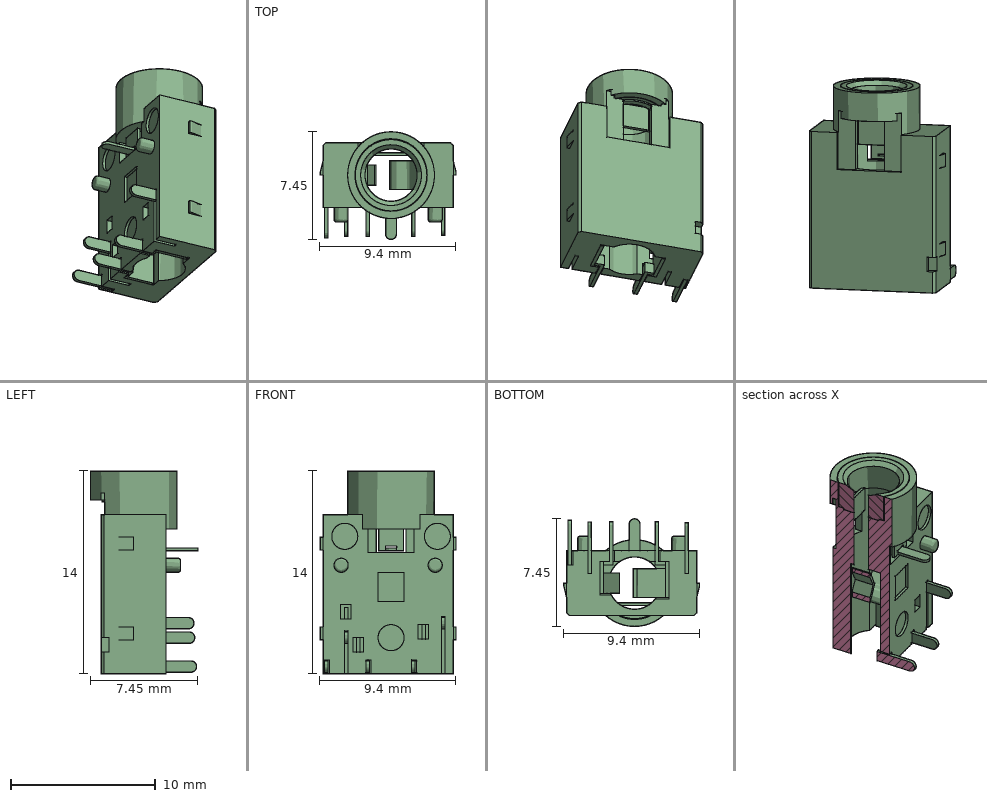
import cadquery as cq
import math


block_left, block_right = -4.7, 4.3
block_depth = 4.5
block_height = 11.0
front_y = -block_depth / 2
back_y = block_depth / 2
back_edge_chamfer = 0.2
barrel_radius = 3.0
barrel_bottom, barrel_top = 10.0, 14.0
bore_radius = 1.8

bushing_radius = 2.47
bushing_clearance = 0.03
bushing_bottom = 12.0
bushing_lead_in = 0.3
spigot_radius = 2.2
spigot_bottom = bushing_bottom - 0.12

dimple_radius = 0.9
dimple_depth = 0.2
dimple_places = [(-3.2, 9.5), (3.2, 9.5), (0, 2.5)]
mark_size = (1.8, 2.0)
mark_center_z = 6.0
peg_radius = 0.49
peg_length = 1.0
peg_fillet = 0.19
peg_spacing = 6.5
peg_z = 7.5
peephole_size = (0.73, 1.0)
peephole_places = [(-3.13, 4.3), (-2.27, 2.0), (2.23, 2.9)]

wedge_height = 0.9
wedge_projection = 0.2
wedge_top_y, wedge_crest_y = 1.0, 0.2
wedge_centers_z = [2.8, 9.0]
notch_front_y = 1.7
notch_bottom, notch_top = 1.5, 2.5
notch_length = 0.6

window_half_width = 1.6
window_bottom = 8.4
window_back_y = -1.6
passage_half_width = 1.02
recess_half_width = 2.27
recess_floor_y = 2.0
bridge_front_y, bridge_back_y = 1.35, 1.55
bridge_bottom = barrel_bottom + 0.1
step_half_width = 1.7
step_top = bushing_bottom + 0.5

ground_half_width = 0.86
ground_bottom = 8.5
ground_socket_top = 10.4
ground_front_y = -2.16
ground_thickness = 0.2
ground_pin_half_width = 0.38
ground_pin_end_y = -4.45
ground_slit_height = 0.13

sheet = 0.25
pin_height = 0.8
slot_headroom = 0.06
leg_front_y = -1.5
low_pin_bottom = 0.1
slot_side_play = 0.1

corner_pin_x, corner_pin_end_y = -4.6, -4.35
corner_blade_back_y = -1.25

left_switch_x, left_switch_pin_bottom, left_switch_end_y = -3.23, 2.1, -4.23
left_switch_top = 4.6
right_switch_x, right_switch_pin_bottom, right_switch_end_y = 3.47, 3.1, -4.17
right_switch_top = right_switch_pin_bottom + pin_height
switch_front_y, switch_back_y = -1.65, -0.65

spring_pin_end_y = -4.25
ring_pin_x, ring_leg_x, ring_half_width = -1.74, -2.38, 0.71
ring_leg_top = 4.0
ring_crest_x, ring_crest_z = -1.16, 6.0
ring_tip_x, ring_tip_z = -1.765, 7.2
ring_break_x, ring_break_z = -1.14, 6.1
tip_pin_x, tip_leg_x, tip_half_width = 1.42, 2.12, 1.0
tip_leg_bottom = -0.01
tip_flat_z = 4.2
tip_slope_degrees = 52
tip_inner_bend, tip_outer_bend = 0.59, 0.55
tip_flat_left_x, tip_flat_right_x = 0.62, 0.97
spring_room = 0.1
ring_room_top, tip_room_top = 7.5, 6.0


def box(x_range, y_range, z_range):
    """Box between two limits along each axis."""
    (x0, x1), (y0, y1), (z0, z1) = x_range, y_range, z_range
    return cq.Workplane("XY").box(x1 - x0, y1 - y0, z1 - z0, centered=False).translate((x0, y0, z0))


def cylinder(radius, z0, z1):
    return cq.Workplane("XY").workplane(offset=z0).circle(radius).extrude(z1 - z0)


def front_plane(y):
    """XZ plane at a given Y whose extrusions run towards -Y."""
    return cq.Workplane("XZ", origin=(0, y, 0))


def pin_blade(x, back_y, end_y, bottom):
    """Flat sheet pin with a full round end, reaching from back_y out to end_y."""
    radius = pin_height / 2
    round_start = end_y + radius
    return (
        cq.Workplane("YZ", origin=(x, 0, 0))
        .moveTo(back_y, bottom)
        .lineTo(round_start, bottom)
        .threePointArc((end_y, bottom + radius), (round_start, bottom + pin_height))
        .lineTo(back_y, bottom + pin_height)
        .close()
        .extrude(sheet)
    )


def pin_slot(x, back_y, pin_bottom, play):
    """Housing slot for a pin, open at the front and at the underside."""
    top = pin_bottom + pin_height + slot_headroom
    return box((x, x + sheet + play), (front_y, back_y), (0, top))


def side_wedges():
    """Retaining wedges on both side walls."""
    profile = [(0, wedge_top_y), (wedge_projection, wedge_crest_y), (wedge_projection, 0), (0, 0)]
    wedges = cq.Workplane("XY")
    for wall_x, side in [(block_left, -1), (block_right, 1)]:
        points = [(wall_x + side * x, y) for x, y in profile]
        for z in wedge_centers_z:
            base = cq.Workplane("XY").workplane(offset=z - wedge_height / 2)
            wedges = wedges.add(base.polyline(points).close().extrude(wedge_height))
    return wedges.combine()


def ground_terminal():
    """Upright plate with a slit, from which a round-ended pin runs forwards."""
    plate_back_y = ground_front_y + ground_thickness
    plate = box(
        (-ground_half_width, ground_half_width),
        (ground_front_y, plate_back_y),
        (ground_bottom, ground_socket_top),
    )
    pin_top = ground_bottom + ground_thickness
    slit = box(
        (-ground_pin_half_width, ground_pin_half_width),
        (ground_front_y, plate_back_y),
        (pin_top, pin_top + ground_slit_height),
    )
    round_start = ground_pin_end_y + ground_pin_half_width
    pin = (
        cq.Workplane("XY", origin=(0, 0, ground_bottom))
        .moveTo(-ground_pin_half_width, plate_back_y)
        .lineTo(-ground_pin_half_width, round_start)
        .threePointArc((0, ground_pin_end_y), (ground_pin_half_width, round_start))
        .lineTo(ground_pin_half_width, plate_back_y)
        .close()
        .extrude(ground_thickness)
    )
    return plate.cut(slit).union(pin)


def switch_terminal(x, pin_bottom, end_y, top):
    """Flat switch blade: an upright inside the housing and a pin out of the front."""
    upright = box((x, x + sheet), (switch_front_y, switch_back_y), (pin_bottom, top))
    return upright.union(pin_blade(x, switch_back_y, end_y, pin_bottom))


def spring_foot(pin_x, leg_x):
    """Pin with a crossbar that joins it to the leg of a spring contact."""
    bar_x = (min(pin_x, leg_x), max(pin_x, leg_x) + sheet)
    bar_y = (leg_front_y, leg_front_y + sheet)
    bar = box(bar_x, bar_y, (low_pin_bottom, low_pin_bottom + pin_height))
    return bar.union(pin_blade(pin_x, bar_y[1], spring_pin_end_y, low_pin_bottom))


def spring_leg(leg_x, half_width, bottom, top):
    return box((leg_x, leg_x + sheet), (leg_front_y, half_width), (bottom, top))


def ring_terminal():
    """Left spring contact: a leg whose leaf leans into the bore and back out."""
    right_x = ring_leg_x + sheet
    leaf = (
        front_plane(ring_half_width)
        .moveTo(ring_leg_x, ring_leg_top - sheet)
        .lineTo(ring_leg_x, ring_leg_top)
        .lineTo(ring_crest_x - sheet / 2, ring_crest_z)
        .lineTo(ring_tip_x - sheet / 2, ring_tip_z)
        .lineTo(ring_tip_x + sheet / 2, ring_tip_z)
        .lineTo(ring_break_x, ring_break_z)
        .lineTo(ring_crest_x + sheet / 2, ring_crest_z)
        .lineTo(right_x, ring_leg_top)
        .lineTo(right_x, ring_leg_top - sheet)
        .close()
        .extrude(2 * ring_half_width)
    )
    leg = spring_leg(ring_leg_x, ring_half_width, 0, ring_leg_top)
    return leg.union(leaf).union(spring_foot(ring_pin_x, ring_leg_x))


def tip_terminal():
    """Right spring contact: a leg whose leaf slopes down into the bore and curls over."""
    slope = math.radians(tip_slope_degrees)
    slope_end_x = tip_flat_right_x + tip_outer_bend * math.sin(slope)
    slope_end_z = tip_flat_z + tip_outer_bend * (1 - math.cos(slope))
    leg_center_x = tip_leg_x + sheet / 2
    slope_start_z = slope_end_z + (leg_center_x - slope_end_x) * math.tan(slope)
    tip_end = (tip_flat_left_x - tip_inner_bend, tip_flat_z - tip_inner_bend)
    path = (
        cq.Workplane("XZ")
        .moveTo(leg_center_x, slope_start_z)
        .lineTo(slope_end_x, slope_end_z)
        .tangentArcPoint((tip_flat_right_x, tip_flat_z), relative=False)
        .lineTo(tip_flat_left_x, tip_flat_z)
        .tangentArcPoint(tip_end, relative=False)
    )
    section_plane = cq.Plane(
        origin=(leg_center_x, 0, slope_start_z),
        xDir=(0, 1, 0),
        normal=(-math.cos(slope), 0, -math.sin(slope)),
    )
    leaf = cq.Workplane(section_plane).rect(2 * tip_half_width, sheet).sweep(path)
    leg = spring_leg(tip_leg_x, tip_half_width, tip_leg_bottom, slope_start_z + sheet / 2)
    return leg.union(leaf).union(spring_foot(tip_pin_x, tip_leg_x))


def terminal_rooms():
    """Everything removed from the housing to take the terminals."""
    ring_room = box((ring_leg_x, 0), (leg_front_y, ring_half_width + spring_room), (0, ring_room_top))
    tip_room = box(
        (0, tip_leg_x + sheet),
        (leg_front_y, tip_half_width + spring_room),
        (0, tip_room_top),
    )
    rooms = ring_room.union(tip_room)
    for x in (ring_pin_x, tip_pin_x):
        rooms = rooms.union(pin_slot(x, leg_front_y, low_pin_bottom, slot_side_play))
    rooms = rooms.union(pin_slot(corner_pin_x, corner_blade_back_y, low_pin_bottom, slot_side_play))
    for x, pin_bottom, top in [
        (left_switch_x, left_switch_pin_bottom, left_switch_top),
        (right_switch_x, right_switch_pin_bottom, right_switch_top),
    ]:
        rooms = rooms.union(pin_slot(x, switch_front_y, pin_bottom, 0))
        rooms = rooms.union(box((x, x + sheet), (switch_front_y, switch_back_y), (0, top)))
    return rooms


def front_recesses():
    """Shallow dimples, the rectangular mark and the peepholes in the front face."""
    dimples = front_plane(front_y + dimple_depth).pushPoints(dimple_places).circle(dimple_radius)
    mark = front_plane(front_y + dimple_depth).center(0, mark_center_z).rect(*mark_size)
    peepholes = front_plane(switch_front_y).pushPoints(peephole_places).rect(*peephole_size)
    inner_peepholes = front_plane(leg_front_y).pushPoints(peephole_places[1:]).rect(*peephole_size)
    recesses = dimples.extrude(dimple_depth).union(mark.extrude(dimple_depth))
    recesses = recesses.union(peepholes.extrude(switch_front_y - front_y))
    return recesses.union(inner_peepholes.extrude(leg_front_y - front_y))


def back_opening():
    """Recess in the back of block and barrel, and the steps above it."""
    opening = box(
        (-recess_half_width, recess_half_width),
        (recess_floor_y, barrel_radius),
        (window_bottom, bushing_bottom),
    )
    for x_range in [(-recess_half_width, -step_half_width), (step_half_width, recess_half_width)]:
        step = box(x_range, (recess_floor_y, back_y), (bushing_bottom, step_top))
        opening = opening.union(step)
    return opening


def housing_body():
    block = box((block_left, block_right), (front_y, back_y), (0, block_height))
    block = block.edges("|Z and >Y").chamfer(back_edge_chamfer)
    block_center_x = (block_left + block_right) / 2
    peg_places = [(block_center_x + side * peg_spacing / 2, peg_z) for side in (-1, 1)]
    pegs = front_plane(front_y).pushPoints(peg_places).circle(peg_radius).extrude(peg_length)
    pegs = pegs.faces("<Y").edges().fillet(peg_fillet)
    body = block.union(cylinder(barrel_radius, barrel_bottom, barrel_top))
    body = body.union(pegs).union(side_wedges())

    body = body.cut(cylinder(bore_radius, 0, barrel_top))
    body = body.cut(cylinder(bushing_radius + bushing_clearance, bushing_bottom, barrel_top))
    body = body.cut(cylinder(spigot_radius, spigot_bottom, bushing_bottom))

    window_x = (-window_half_width, window_half_width)
    passage_x = (-passage_half_width, passage_half_width)
    body = body.cut(box(window_x, (front_y, window_back_y), (window_bottom, barrel_bottom)))
    body = body.cut(box(passage_x, (window_back_y, 0), (window_bottom, barrel_bottom)))
    body = body.cut(box(passage_x, (0, back_y), (window_bottom, bushing_bottom)))
    body = body.cut(back_opening())

    bridge_x = (-bore_radius, bore_radius)
    bridge = box(bridge_x, (bridge_front_y, bridge_back_y), (bridge_bottom, bushing_bottom))
    bridge = bridge.intersect(cylinder(bore_radius, bridge_bottom, bushing_bottom))
    body = body.union(bridge)

    notch = box(
        (block_left, block_left + notch_length),
        (notch_front_y, back_y),
        (notch_bottom, notch_top),
    )
    return body.cut(notch).cut(front_recesses()).cut(terminal_rooms())


def bushing_body():
    """Flanged ring whose narrower spigot reaches just below its seat."""
    ring = cylinder(bushing_radius, bushing_bottom, barrel_top)
    ring = ring.union(cylinder(spigot_radius, spigot_bottom, bushing_bottom))
    ring = ring.cut(cylinder(bore_radius, spigot_bottom, barrel_top))
    return ring.faces(">Z").edges(cq.selectors.RadiusNthSelector(0)).chamfer(bushing_lead_in)


ground = ground_terminal()
housing = housing_body().cut(ground)
bushing = bushing_body()
corner_terminal = pin_blade(corner_pin_x, corner_blade_back_y, corner_pin_end_y, low_pin_bottom)
left_switch = switch_terminal(
    left_switch_x, left_switch_pin_bottom, left_switch_end_y, left_switch_top
)
right_switch = switch_terminal(
    right_switch_x, right_switch_pin_bottom, right_switch_end_y, right_switch_top
)
ring_contact = ring_terminal()
tip_contact = tip_terminal()

bodies = [
    housing,
    bushing,
    ground,
    corner_terminal,
    left_switch,
    right_switch,
    ring_contact,
    tip_contact,
]
result = cq.Compound.makeCompound([body.solids().val() for body in bodies])